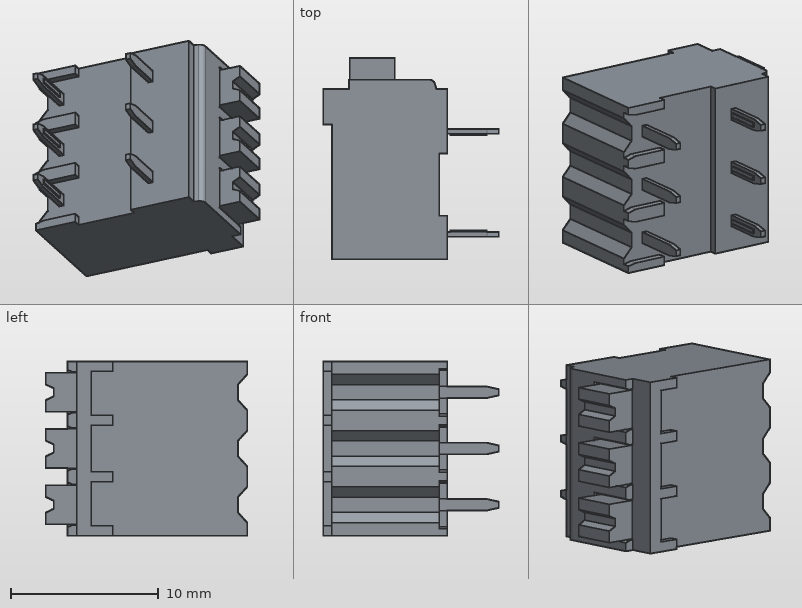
import cadquery as cq

pole_count = 3
pole_pitch = 3.81
height = 11.82
pole_centres = [height / 2 + (i - (pole_count - 1) / 2) * pole_pitch for i in range(pole_count)]

wall_x = 0.59
housing_x = 8.41
shoulder_y = 11.53
crown_y = 12.18
crown_x_min = 1.75
crown_x_max = 7.67
crown_draft = 0.16
crown_radius = 0.44
flange_y = 9.12

notch_x = 7.88
notch_y_min = 2.96
notch_y_max = 7.15

groove_depth = 0.63
groove_mouth = 2.42
groove_floor = 1.04

recess_width = 3.13
recess_y = 10.55
end_tooth = 0.68

pocket_edge = 0.49
pocket_rib = 0.57
pocket_lead_y = 0.59
pocket_inner_lead = 0.16
pocket_outer_lead = 0.12

button_x_min = 1.8
button_x_max = 4.86
button_y = 13.65
button_width = 2.65
button_notch_depth = 0.53
button_notch_mouth = 1.05
button_notch_floor = 0.53
slot_clearance = 0.07
slot_chamfer_width = 0.12
slot_chamfer_depth = 0.31

pin_tip_x = 11.9
pin_taper_x = 11.1
pin_width = 0.79
pin_tip_width = 0.42
pin_thickness = 0.34
lower_pin_y = 1.52
upper_pin_y = 8.49
bead_x = 8.6
bead_width = 0.3
bead_height = 0.1


def box(x_min, x_max, y_min, y_max, z_min, z_max):
    """Axis-aligned block between two corners."""
    size = (x_max - x_min, y_max - y_min, z_max - z_min)
    return cq.Workplane("XY").box(*size, centered=False).translate((x_min, y_min, z_min))


def extrude_x(yz_points, x_min, x_max):
    """Closed outline in the YZ plane, extruded from x_min to x_max."""
    return cq.Workplane("YZ", origin=(x_min, 0, 0)).polyline(yz_points).close().extrude(x_max - x_min)


def make_housing():
    body = (
        cq.Workplane("XY")
        .polyline([
            (wall_x, 0),
            (housing_x, 0),
            (housing_x, notch_y_min),
            (notch_x, notch_y_min),
            (notch_x, notch_y_max),
            (housing_x, notch_y_max),
            (housing_x, shoulder_y),
            (0, shoulder_y),
            (0, flange_y),
            (wall_x, flange_y),
        ])
        .close()
        .extrude(height)
    )
    crown_corner_x = crown_x_max - crown_draft
    crown = (
        cq.Workplane("XY")
        .polyline([
            (crown_x_min, shoulder_y),
            (crown_x_max, shoulder_y),
            (crown_corner_x, crown_y),
            (crown_x_min, crown_y),
        ])
        .close()
        .extrude(height)
        .edges(cq.selectors.NearestToPointSelector((crown_corner_x, crown_y, height / 2)))
        .fillet(crown_radius)
    )
    return body.union(crown)


def make_groove(z):
    return extrude_x(
        [
            (0, z - groove_mouth / 2),
            (groove_depth, z - groove_floor / 2),
            (groove_depth, z + groove_floor / 2),
            (0, z + groove_mouth / 2),
        ],
        wall_x,
        housing_x,
    )


def make_flange_recess(z):
    z_min = max(z - recess_width / 2, end_tooth)
    z_max = min(z + recess_width / 2, height - end_tooth)
    return box(0, wall_x, flange_y, recess_y, z_min, z_max)


def make_pin_pocket(index):
    """Pocket from the Y = 0 face to the notch, with sloped lead-ins at its mouth."""
    z_min = pole_centres[index] - (pole_pitch - pocket_rib) / 2
    z_max = pole_centres[index] + (pole_pitch - pocket_rib) / 2
    lead_min = lead_max = pocket_inner_lead
    if index == 0:
        z_min = pocket_edge
        lead_min = pocket_outer_lead
    if index == pole_count - 1:
        z_max = height - pocket_edge
        lead_max = pocket_outer_lead
    return extrude_x(
        [
            (0, z_min),
            (pocket_lead_y, z_min + lead_min),
            (notch_y_min, z_min + lead_min),
            (notch_y_min, z_max - lead_max),
            (pocket_lead_y, z_max - lead_max),
            (0, z_max),
        ],
        notch_x,
        housing_x,
    )


def make_button_slot(z):
    half = button_width / 2 + slot_clearance
    half_mouth = half + slot_chamfer_width
    chamfer_y = crown_y - slot_chamfer_depth
    return extrude_x(
        [
            (shoulder_y, z - half),
            (chamfer_y, z - half),
            (crown_y, z - half_mouth),
            (crown_y, z + half_mouth),
            (chamfer_y, z + half),
            (shoulder_y, z + half),
        ],
        crown_x_min,
        button_x_max + slot_clearance,
    )


def make_button(z):
    notch_y = button_y - button_notch_depth
    return extrude_x(
        [
            (shoulder_y, z - button_width / 2),
            (button_y, z - button_width / 2),
            (button_y, z - button_notch_mouth / 2),
            (notch_y, z - button_notch_floor / 2),
            (notch_y, z + button_notch_floor / 2),
            (button_y, z + button_notch_mouth / 2),
            (button_y, z + button_width / 2),
            (shoulder_y, z + button_width / 2),
        ],
        button_x_min,
        button_x_max,
    )


def make_pin(y_min, z, bead_y_min):
    """Flat tapered pin rooted in the notch plane, with a bead on one side."""
    blade = (
        cq.Workplane("XZ", origin=(0, y_min, 0))
        .polyline([
            (notch_x, z - pin_width / 2),
            (pin_taper_x, z - pin_width / 2),
            (pin_tip_x, z - pin_tip_width / 2),
            (pin_tip_x, z + pin_tip_width / 2),
            (pin_taper_x, z + pin_width / 2),
            (notch_x, z + pin_width / 2),
        ])
        .close()
        .extrude(-pin_thickness)
    )
    bead_y_max = bead_y_min + bead_height
    bead = box(bead_x, pin_taper_x, bead_y_min, bead_y_max, z - bead_width / 2, z + bead_width / 2)
    return blade.union(bead)


result = make_housing()
for index, z in enumerate(pole_centres):
    result = (
        result.cut(make_groove(z))
        .cut(make_flange_recess(z))
        .cut(make_pin_pocket(index))
        .cut(make_button_slot(z))
    )
for z in pole_centres:
    result = (
        result.union(make_button(z))
        .union(make_pin(lower_pin_y, z, lower_pin_y + pin_thickness))
        .union(make_pin(upper_pin_y, z, upper_pin_y - bead_height))
    )